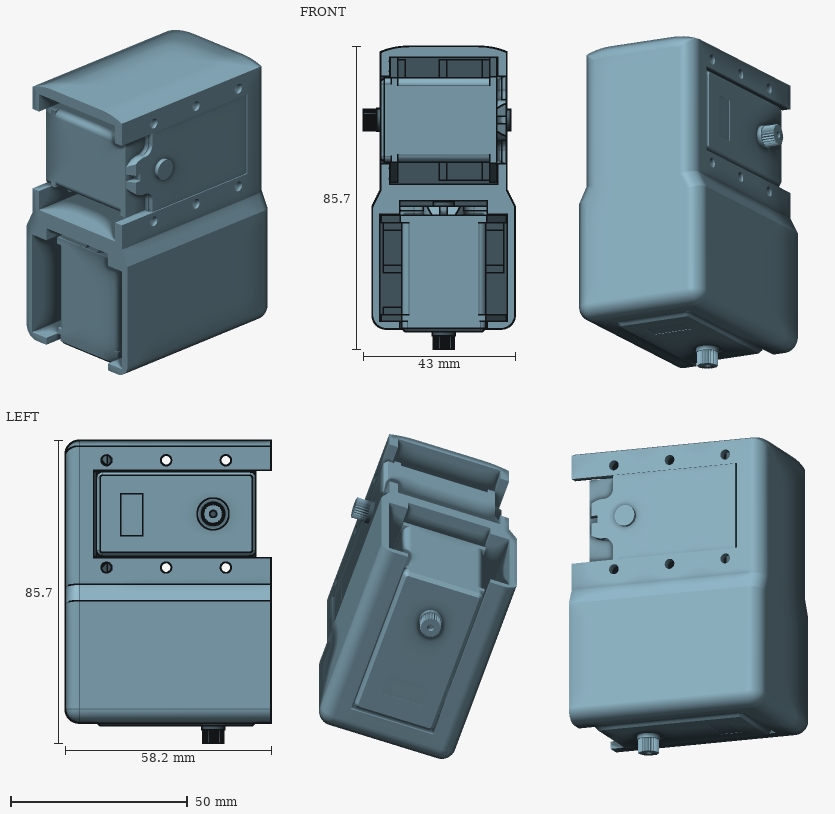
import cadquery as cq
import math

depth = 58.2
body_height = 79.95
lower_half_width = 20.2
upper_half_width = 17.9
waist_low_z = 34.6
waist_high_z = 39.25
crown_half_flat = 9.9
crown_drop = 1.6
corner_radius = 4.0
pocket_depth = 50.1

upper_pocket_half_width = 15.25
upper_pocket_floor = 41.0
upper_pocket_roof = 76.9
lower_pocket_half_width = 18.0
lower_pocket_floor = 2.1
lower_pocket_roof = 32.5
window_width = 24.7
lower_slot_top = 36.25

screw_hole_diameter = 2.9
screw_hole_offset = 15.2
screw_hole_y = [12.8, 29.65, 46.5]

servo_front = 4.3
servo_back = 49.4
servo_height = 23.8
end_band_height = 24.5
case_near = -16.5
case_far = 15.1
cover_thickness = 1.3
cover_chamfer = 1.0
corner_post_radius = 1.6
corner_post_length = 1.7
cover_face = case_near - cover_thickness
case_edge_radius = 2.05
grip_half_length = 13.0
shaft_y = 16.4

label_y = [36.25, 42.4]
label_z = [-6.2, 5.65]
mark_depth = 0.1
seat_diameter = 9.0

collar_diameter = 6.5
collar_length = 1.1
spline_diameter = 6.0
spline_tooth_depth = 0.3
spline_teeth = 24
spline_length = 3.85
shaft_bore_diameter = 2.0
spline_tip = cover_face - collar_length - spline_length

lug_thickness = 2.6
nose_y = 9.25
lug_step = 0.4
nose_radius = 5.7
nose_base_half_width = 3.25
nose_end_half_width = 4.6
lug_fillet = 2.7
lug_edge = nose_y + lug_fillet
nose_slot_width = 2.1
nose_slot_bottom = 7.7
stub_diameter = 6.0
stub_length = 1.3

ear_height = 5.1
ramp_height = 5.7
panel_front = 47.1
rib_front = 46.4
end_rib_front = 45.0
rib_thickness = 2.1
middle_rib_start = -1.2

upper_servo_z = 59.1
lower_servo_z = 17.05


def block(x_range, y_range, z_range):
    """Box given by its two limits along each axis."""
    size = [b - a for a, b in (x_range, y_range, z_range)]
    corner = (x_range[0], y_range[0], z_range[0])
    return cq.Workplane("XY").box(*size, centered=False).translate(corner)


def disc(diameter, x_start, x_end, center_y=shaft_y):
    """Cylinder along X, centred on the servo shaft unless told otherwise."""
    plane = cq.Workplane("YZ", origin=(x_start, center_y, 0))
    return plane.circle(diameter / 2).extrude(x_end - x_start)


def housing_blank():
    crown_run = upper_half_width - crown_half_flat
    crown_radius = (crown_run**2 + crown_drop**2) / (2 * crown_drop)
    half_angle = math.asin(crown_run / crown_radius) / 2
    mid_x = crown_half_flat + crown_radius * math.sin(half_angle)
    mid_z = body_height - crown_radius * (1 - math.cos(half_angle))
    shoulder_z = body_height - crown_drop
    outline = (
        cq.Workplane("XZ")
        .moveTo(-lower_half_width, 0)
        .lineTo(lower_half_width, 0)
        .lineTo(lower_half_width, waist_low_z)
        .lineTo(upper_half_width, waist_high_z)
        .lineTo(upper_half_width, shoulder_z)
        .threePointArc((mid_x, mid_z), (crown_half_flat, body_height))
        .lineTo(-crown_half_flat, body_height)
        .threePointArc((-mid_x, mid_z), (-upper_half_width, shoulder_z))
        .lineTo(-upper_half_width, waist_high_z)
        .lineTo(-lower_half_width, waist_low_z)
        .close()
    )
    blank = outline.extrude(-depth)
    blank = blank.edges("|Y and <Z").fillet(corner_radius)
    return blank.faces(">Y").edges().fillet(corner_radius)


def housing():
    pocket_y = (0, pocket_depth)
    half_window = window_width / 2
    upper_x = (-upper_pocket_half_width, upper_pocket_half_width)
    lower_x = (-lower_pocket_half_width, lower_pocket_half_width)
    window_z = (upper_servo_z - half_window, upper_servo_z + half_window)
    body = housing_blank()
    body = body.cut(block(upper_x, pocket_y, (upper_pocket_floor, upper_pocket_roof)))
    body = body.cut(block((-upper_half_width, upper_half_width), pocket_y, window_z))
    body = body.cut(block(lower_x, pocket_y, (lower_pocket_floor, lower_pocket_roof)))
    body = body.cut(block((-half_window, half_window), pocket_y, (0, lower_slot_top)))
    for side in (-1, 1):
        hole_z = upper_servo_z + side * screw_hole_offset
        holes = (
            cq.Workplane("YZ", origin=(-upper_half_width, 0, 0))
            .pushPoints([(y, hole_z) for y in screw_hole_y])
            .circle(screw_hole_diameter / 2)
            .extrude(2 * upper_half_width)
        )
        body = body.cut(holes)
    return body


def servo_case():
    half = servo_height / 2
    servo_y = (servo_front, servo_back)
    half_band = end_band_height / 2
    post_end = case_near + corner_post_length
    grip = block((-grip_half_length, grip_half_length), servo_y, (-half, half))
    grip = grip.edges("|X and <Y").fillet(case_edge_radius)
    end_band = block((grip_half_length, case_far), servo_y, (-half_band, half_band))
    near_end = block((post_end, -grip_half_length), servo_y, (-half, half))
    case = grip.union(near_end).union(end_band)
    cover = block((cover_face, post_end), servo_y, (-half, half))
    cover = cover.edges("|X").fillet(corner_post_radius)
    cover = cover.faces("<X").edges().chamfer(cover_chamfer)
    label = block((cover_face, cover_face + mark_depth), label_y, label_z)
    seat = disc(seat_diameter, cover_face, cover_face + mark_depth)
    return case.union(cover).cut(label).cut(seat)


def splined_shaft():
    tip_radius = spline_diameter / 2
    points = []
    for i in range(2 * spline_teeth):
        radius = tip_radius - spline_tooth_depth * (i % 2)
        angle = math.pi * i / spline_teeth
        points.append((radius * math.cos(angle), radius * math.sin(angle)))
    spline = (
        cq.Workplane("YZ", origin=(spline_tip, shaft_y, 0))
        .polyline(points)
        .close()
        .extrude(spline_length)
    )
    collar = disc(collar_diameter, cover_face - collar_length, case_near)
    bore = disc(shaft_bore_diameter, spline_tip, spline_tip + spline_length)
    return spline.union(collar).cut(bore)


def lug_layer(x_start, thickness, edge_y):
    """Plate whose front edge flares through concave fillets toward the nose."""
    half = window_width / 2
    flare_y = edge_y - lug_fillet
    flare_half = nose_radius + lug_fillet
    bend = lug_fillet * (1 - math.sqrt(0.5))
    return (
        cq.Workplane("YZ", origin=(x_start, 0, 0))
        .moveTo(servo_back, -half)
        .lineTo(edge_y, -half)
        .lineTo(edge_y, -flare_half)
        .threePointArc((edge_y - bend, -nose_radius - bend), (flare_y, -nose_radius))
        .lineTo(flare_y, nose_radius)
        .threePointArc((edge_y - bend, nose_radius + bend), (edge_y, flare_half))
        .lineTo(edge_y, half)
        .lineTo(servo_back, half)
        .close()
        .extrude(thickness)
    )


def end_lug():
    layer = lug_thickness / 2
    lug_face = case_far + lug_thickness
    base_y, end_y = [
        nose_y - math.sqrt(nose_radius**2 - half_width**2)
        for half_width in (nose_base_half_width, nose_end_half_width)
    ]
    tip_y = nose_y - nose_radius
    sloped_front = (
        cq.Workplane("XY", origin=(0, 0, -nose_radius))
        .polyline([(case_far, tip_y), (case_far, base_y), (lug_face, end_y), (lug_face, tip_y)])
        .close()
        .extrude(2 * nose_radius)
    )
    nose = disc(2 * nose_radius, case_far, lug_face, nose_y).cut(sloped_front)
    half_slot = nose_slot_width / 2
    slot_y = (tip_y, nose_slot_bottom)
    slot = block((case_far, lug_face), slot_y, (-half_slot, half_slot))
    lug = lug_layer(case_far, layer, lug_edge)
    lug = lug.union(lug_layer(case_far + layer, layer, lug_edge + lug_step))
    lug = lug.union(nose).cut(slot)
    return lug.union(disc(stub_diameter, lug_face, lug_face + stub_length))


def ears():
    """Mounting ears and end ramps that tie the case to the back of the pocket."""
    half = servo_height / 2
    upper_z = (half, half + ear_height)
    lower_z = (-half - ear_height, -half)
    rib_y = (rib_front, pocket_depth)
    middle_rib_x = (middle_rib_start, middle_rib_start + rib_thickness)
    end_rib_x = (grip_half_length - rib_thickness, grip_half_length)
    near_rib_x = (-grip_half_length, rib_thickness - grip_half_length)
    parts = block(near_rib_x, rib_y, upper_z)
    for z_range in (upper_z, lower_z):
        panel_x = (middle_rib_start, grip_half_length)
        parts = parts.union(block(panel_x, (panel_front, pocket_depth), z_range))
        parts = parts.union(block(middle_rib_x, rib_y, z_range))
        parts = parts.union(block(end_rib_x, (end_rib_front, pocket_depth), z_range))
    ramp_length = case_far - grip_half_length
    for x_start in (-case_far, grip_half_length):
        for side in (-1, 1):
            ramp = (
                cq.Workplane("YZ", origin=(x_start, 0, 0))
                .moveTo(end_rib_front, side * half)
                .lineTo(pocket_depth, side * half)
                .lineTo(pocket_depth, side * (half + ramp_height))
                .close()
                .extrude(ramp_length)
            )
            parts = parts.union(ramp)
    spine = block((-grip_half_length, grip_half_length), (servo_back, pocket_depth), (-half, half))
    return parts.union(spine)


def servo():
    return servo_case().union(splined_shaft()).union(end_lug()).union(ears())


upper_servo = servo().translate((0, 0, upper_servo_z))
lower_servo = servo().rotate((0, 0, 0), (0, 1, 0), -90).translate((0, 0, lower_servo_z))

result = housing().union(upper_servo).union(lower_servo)